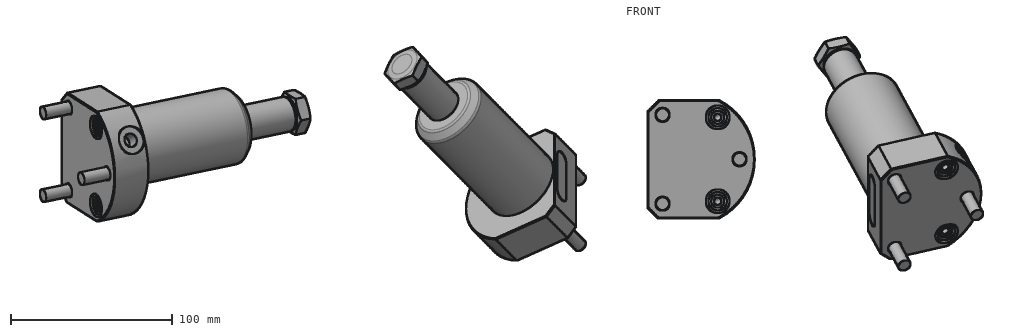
import cadquery as cq
import math


total_length = 175.5
pin_projection = 18.3
flange_thickness = 24.5
barrel_end_y = 111.0
stem_end_y = 147.0
hex_start_y = 148.1
hex_end_y = total_length - pin_projection

flange_height = 73.2
flange_left_x = -25.1
flange_radius = 41.2
upper_corner_cut = 7.0
lower_corner_cut = 6.3
flange_edge_chamfer = 0.5

barrel_radius = 24.0
barrel_chamfer = 5.1
barrel_blend_radius = 2.5
stem_radius = 11.0
stem_chamfer = 0.5
neck_radius = 10.5
hex_sides = 6
hex_across_flats = 24.0
hex_corner_radius = hex_across_flats / math.sqrt(3)
hex_bevel_radius = 10.9
hex_bevel_height = 0.9
crown_radius = 7.4
crown_height = 0.5

pin_count = 3
pin_radius = 4.0
pin_hole_radius = 4.4
pin_hole_depth = 17.5
pin_circle_radius = 31.8

port_x = 18.3
port_z = 26.0
seal_recess_radius = 7.4
ring_wire_radius = 0.85
ring_projection = 0.44
seal_recess_depth = 2 * ring_wire_radius - ring_projection
port_step_radius = 4.0
port_step_depth = 2.6
port_bore_radius = 2.3
port_bore_depth = 10.5
port_tip_angle = 118.0

side_port_angle = 30.0
side_port_y = 15.5
spotface_radius = 8.8
spotface_depth = 1.4
side_bore_radius = 4.2
side_bore_depth = 10.5

label_y = 16.3
label_length = 39.3
label_width = 9.8
label_depth = 0.26


def cylinder_along_y(x, z, radius, start_y, end_y):
    """Solid cylinder parallel to Y between two Y positions."""
    return cq.Workplane(cq.Solid.makeCylinder(
        radius, end_y - start_y, cq.Vector(x, start_y, z), cq.Vector(0, 1, 0)))


def make_flange():
    """Plate with one round side concentric with the barrel and two cut corners."""
    half_height = flange_height / 2
    arc_start_x = math.sqrt(flange_radius**2 - half_height**2)
    return (
        cq.Workplane("XZ")
        .moveTo(flange_left_x + lower_corner_cut, -half_height)
        .lineTo(arc_start_x, -half_height)
        .threePointArc((flange_radius, 0), (arc_start_x, half_height))
        .lineTo(flange_left_x + upper_corner_cut, half_height)
        .lineTo(flange_left_x, half_height - upper_corner_cut)
        .lineTo(flange_left_x, -half_height + lower_corner_cut)
        .close()
        .extrude(-flange_thickness)
        .faces("<Y or >Y")
        .chamfer(flange_edge_chamfer)
    )


def make_barrel():
    """Cylinder whose free end has a wide chamfer with blended edges."""
    return (
        cylinder_along_y(0, 0, barrel_radius, flange_thickness, barrel_end_y)
        .faces(">Y")
        .chamfer(barrel_chamfer)
        .edges("%CIRCLE and (not <Y)")
        .fillet(barrel_blend_radius)
    )


def make_stem():
    """Chamfered stem followed by the slimmer neck below the head."""
    stem = cylinder_along_y(0, 0, stem_radius, barrel_end_y, stem_end_y)
    stem = stem.faces(">Y").chamfer(stem_chamfer)
    return stem.union(cylinder_along_y(0, 0, neck_radius, stem_end_y, hex_start_y))


def make_head():
    """Hexagon with a corner on the X axis, conical bevels and a low crown."""
    hexagon = (
        cq.Workplane("XZ", origin=(0, hex_start_y, 0))
        .polygon(hex_sides, 2 * hex_corner_radius)
        .extrude(hex_start_y - hex_end_y)
    )
    shoulder_y = hex_end_y - crown_height
    turned_blank = (
        cq.Workplane("XY")
        .moveTo(0, hex_start_y)
        .lineTo(hex_bevel_radius, hex_start_y)
        .lineTo(hex_corner_radius, hex_start_y + hex_bevel_height)
        .lineTo(hex_corner_radius, shoulder_y - hex_bevel_height)
        .lineTo(hex_bevel_radius, shoulder_y)
        .lineTo(crown_radius, hex_end_y)
        .lineTo(0, hex_end_y)
        .close()
        .revolve(360, (0, 0, 0), (0, 1, 0))
    )
    return hexagon.intersect(turned_blank)


def pin_centers():
    """X and Z of each pin, starting on the X axis."""
    angles = [2 * math.pi * i / pin_count for i in range(pin_count)]
    return [(pin_circle_radius * math.cos(a), pin_circle_radius * math.sin(a)) for a in angles]


def port_centers():
    """X and Z of the two ports in the mounting face."""
    return [(port_x, side * port_z) for side in (1, -1)]


def make_port_cut(x, z):
    """Stepped hole: O-ring recess, middle step and bore with a drill-point end."""
    recess = cylinder_along_y(x, z, seal_recess_radius, 0, seal_recess_depth)
    step = cylinder_along_y(x, z, port_step_radius, 0, port_step_depth)
    bore = cylinder_along_y(x, z, port_bore_radius, 0, port_bore_depth)
    tip_height = port_bore_radius / math.tan(math.radians(port_tip_angle / 2))
    tip = cq.Workplane(cq.Solid.makeCone(
        port_bore_radius, 0, tip_height, cq.Vector(x, port_bore_depth, z), cq.Vector(0, 1, 0)))
    return recess.union(step).union(bore).union(tip)


def make_side_port_cut():
    """Spotface and bore that run toward the barrel axis."""
    angle = math.radians(side_port_angle)
    outward = cq.Vector(math.cos(angle), 0, math.sin(angle))
    floor_radius = flange_radius - spotface_depth
    floor_center = cq.Vector(0, side_port_y, 0) + outward * floor_radius
    spotface = cq.Workplane(cq.Solid.makeCylinder(
        spotface_radius, 2 * spotface_depth, floor_center, outward))
    bore = cq.Workplane(cq.Solid.makeCylinder(
        side_bore_radius, side_bore_depth, floor_center, outward * -1))
    return spotface.union(bore)


def make_label_cut():
    """Shallow recess with round ends, long in Z."""
    return (
        cq.Workplane("YZ", origin=(flange_left_x, label_y, 0))
        .slot2D(label_length, label_width, 90)
        .extrude(label_depth)
    )


def make_housing():
    """Flange, barrel, stem and head in one piece, with all holes."""
    housing = make_flange().union(make_barrel()).union(make_stem()).union(make_head())
    for x, z in pin_centers():
        housing = housing.cut(cylinder_along_y(x, z, pin_hole_radius, 0, pin_hole_depth))
    for x, z in port_centers():
        housing = housing.cut(make_port_cut(x, z))
    return housing.cut(make_side_port_cut()).cut(make_label_cut())


def make_pin(x, z):
    """Plain pin from the floor of its clearance hole to beyond the mounting face."""
    return cylinder_along_y(x, z, pin_radius, -pin_projection, pin_hole_depth)


def make_o_ring(x, z):
    """O-ring that rests on the recess floor and wall and stands proud of the face."""
    center = cq.Vector(x, ring_wire_radius - ring_projection, z)
    center_line_radius = seal_recess_radius - ring_wire_radius
    return cq.Workplane(cq.Solid.makeTorus(
        center_line_radius, ring_wire_radius, center, cq.Vector(0, 1, 0)))


housing = make_housing()
pins = [make_pin(x, z) for x, z in pin_centers()]
o_rings = [make_o_ring(x, z) for x, z in port_centers()]

result = cq.Compound.makeCompound([
    housing.val(),
    *[pin.val() for pin in pins],
    *[ring.val() for ring in o_rings],
])